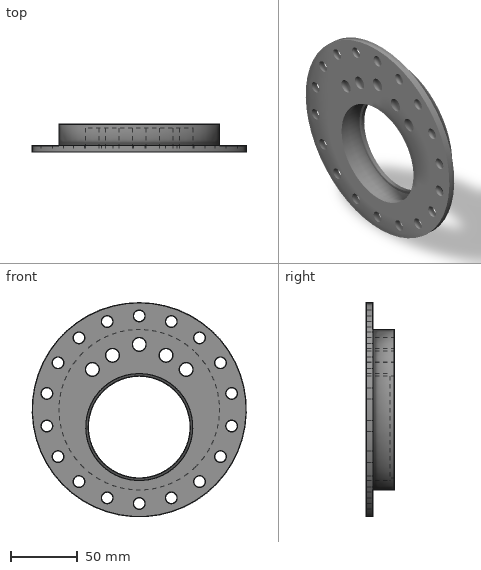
import cadquery as cq

flange_diameter = 160.0
flange_thickness = 5.0
boss_diameter = 120.0
boss_length = 16.0
total_depth = flange_thickness + boss_length

bore_diameter = 80.0
bore_drop = 13.0
lip_opening_diameter = 76.0
lip_thickness = 3.0

rim_hole_count = 18
rim_hole_diameter = 8.5
rim_circle_radius = 70.0

upper_hole_diameter = 10.0
top_hole_height = 48.8
middle_hole_offset = 20.0
middle_hole_height = 40.6
outer_hole_offset = 35.0
outer_hole_height = 30.0


def cylinder(diameter, start_y, length, x=0, z=0):
    """Cylinder along +Y, starting at start_y and centred on (x, z)."""
    return cq.Workplane(
        cq.Solid.makeCylinder(diameter / 2, length, cq.Vector(x, start_y, z), cq.Vector(0, 1, 0))
    )


def make_body():
    flange = cylinder(flange_diameter, 0, flange_thickness)
    return flange.union(cylinder(boss_diameter, flange_thickness, boss_length))


def cut_bore(body):
    bore = cylinder(bore_diameter, 0, total_depth - lip_thickness, z=-bore_drop)
    lip_opening = cylinder(lip_opening_diameter, 0, total_depth, z=-bore_drop)
    return body.cut(bore).cut(lip_opening)


def cut_rim_holes(body):
    holes = (
        cq.Workplane("XZ")
        .polarArray(rim_circle_radius, 90, 360, rim_hole_count)
        .circle(rim_hole_diameter / 2)
        .extrude(-flange_thickness)
    )
    return body.cut(holes)


def cut_upper_holes(body):
    positions = [(0, top_hole_height)]
    for side in (-1, 1):
        positions.append((side * middle_hole_offset, middle_hole_height))
        positions.append((side * outer_hole_offset, outer_hole_height))
    for x, z in positions:
        body = body.cut(cylinder(upper_hole_diameter, 0, total_depth, x, z))
    return body


result = cut_upper_holes(cut_rim_holes(cut_bore(make_body())))